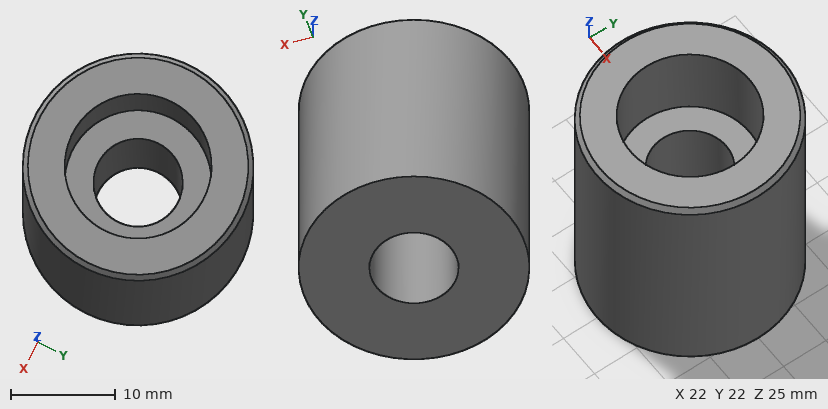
import cadquery as cq

height = 25.0
outer_diameter = 22.0
top_chamfer = 0.5
through_diameter = 8.5
counterbore_diameter = 14.0
counterbore_depth = 9.0

body = (
    cq.Workplane("XY")
    .circle(outer_diameter / 2)
    .extrude(height)
    .faces(">Z")
    .chamfer(top_chamfer)
)

result = (
    body.faces(">Z")
    .workplane()
    .cboreHole(through_diameter, counterbore_diameter, counterbore_depth)
)